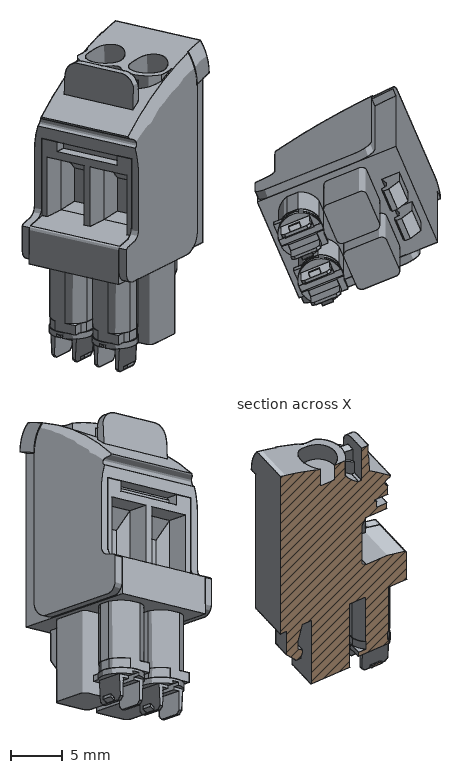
import cadquery as cq
import math

housing_width = 12.15
housing_depth = 14.5
core_half_width = 5.22
front_y = -12.32
pitch = 5.0
pole_xs = (-pitch / 2, pitch / 2)

crown_axis_y = 5.64
crown_axis_z = -7.03
crown_radius = 28.29
crown_edge_height = 3.08
crown_half_width = 5.05
blank_top_z = 22.0

foot_tip_z = 3.43
foot_slope_start = (-13.13, 4.14)
foot_slope_end = (-14.06, 3.93)
foot_neck_z = 5.15

groove_bottom_z = 13.42
groove_floor = (-12.02, 13.93)
bead_start = (-12.34, 14.27)
bead_tip = (-12.63, 14.5)
bead_end_y = -12.25

panel_back_y = -2.2
panel_gap = 0.1
panel_back_corner = 1.9
panel_front_corner = 1.1
back_lip_inset = 0.1

recess_y = -12.22
recess_top_z = 12.22
recess_foot_drop = 0.04
funnel_mouth = (4.27, 4.3, 10.4)
funnel_throat = (2.53, 5.05, 8.47)
funnel_straight_depth = 2.4
funnel_taper_depth = 1.0
slot_width = 7.0
slot_bottom_z = 11.2
slot_ramp_z = 11.92
slot_depth = 1.15
slot_ramp_depth = 0.3

collar_y = -5.39
collar_top_z = 19.1
collar_radius = 2.69
collar_half_width = 4.9
collar_web_fillet = 0.7
collar_blend_back_y = -4.87
collar_blend_front_y = -6.0
collar_root_z = 15.0
opening_radius = 1.9
opening_floor_z = 17.2

plate_half_width = 4.0
plate_back_y = -9.29
plate_foot_y = -10.3
plate_top_z = 19.8
plate_corner = 1.5
plate_lower_bend = (-10.18, 17.97)
plate_upper_bend = (-10.08, 18.55)
plate_root_z = 14.8
rib_x = 2.72
rib_width = 0.88
rib_back_y = -7.6
rib_back_z = 18.64
rib_front_z = 18.47
scoop_half_width = 2.0
scoop_back_y = -6.9
scoop_front_y = -8.95
scoop_front_z = 15.6
scoop_sag = 0.3

pin_y = -11.06
pin_radius = 2.19
pin_across_flats = 4.22
pin_foot_inset = 0.04
pin_end_z = -6.78
key_top_z = -5.8
key_left = -0.6
key_right = 1.8
flange_radius = 2.24
flange_corner = 1.75
flange_end_z = -7.37
prong_inner_top = 1.0
prong_outer_top = 1.5
prong_inner_tip = 1.05
prong_outer_tip = 1.35
prong_width = 3.0
prong_end_z = -9.9
prong_corner = 0.35
bridge_end_z = -7.66
bridge_overlap = 0.2
bridge_notch_width = 0.72
bridge_notch_z = -7.05
barb_width = 1.15
barb_reach = 1.8
barb_top_z = -9.25
barb_low_z = -9.55
barb_bottom_z = -9.85

socket_width = 4.2
socket_back_y = -3.52
socket_front_y = -8.0
socket_end_z = -8.3
socket_fillet = 0.55
hook_x = 1.6
hook_width = 2.2
hook_back_y = -0.7
hook_root_y = -2.55
hook_neck_y = -2.05
hook_tip_ys = (-2.35, -1.8)
hook_neck_top_z = -1.95
hook_neck_low_z = -2.9
hook_nose_top_z = -3.3
hook_nose_low_z = -3.7
hook_heel_z = -3.05
hook_tip_z = -4.35


def box(x_range, y_range, z_range):
    """Axis-aligned box from three (low, high) ranges."""
    size = [high - low for low, high in (x_range, y_range, z_range)]
    low_corner = (x_range[0], y_range[0], z_range[0])
    return cq.Workplane("XY").box(*size, centered=False).translate(low_corner)


def extrude_along_x(outline, x_low, x_high):
    """Extrude a closed YZ outline between two X positions."""
    return outline.extrude(x_high - x_low).translate((x_low, 0, 0))


def crown_z(y):
    """Height of the crown surface at a given Y."""
    return crown_axis_z + math.sqrt(crown_radius**2 - (y - crown_axis_y) ** 2)


def crown_disc(side_inset):
    """Disc with rounded rims that shapes the crown and its side edges."""
    half = housing_width / 2 - side_inset
    rim = crown_radius - crown_edge_height
    flat = crown_half_width - side_inset
    outline = (
        cq.Workplane("XY")
        .moveTo(-half, 0)
        .lineTo(half, 0)
        .lineTo(half, rim)
        .tangentArcPoint((flat, crown_radius), relative=False)
        .lineTo(-flat, crown_radius)
    )
    inset = half - flat
    arc_radius = (inset**2 + crown_edge_height**2) / (2 * inset)
    half_angle = math.asin(crown_edge_height / arc_radius) / 2
    middle_x = half - arc_radius * (1 - math.cos(half_angle))
    middle_r = rim + arc_radius * math.sin(half_angle)
    outline = outline.threePointArc((-middle_x, middle_r), (-half, rim)).close()
    disc = outline.revolve(360, (0, 0, 0), (1, 0, 0))
    return disc.translate((0, crown_axis_y, crown_axis_z))


def make_blank():
    """Side profile over the full width, open above for the crown to trim."""
    outline = (
        cq.Workplane("YZ")
        .moveTo(0, blank_top_z)
        .lineTo(bead_end_y, blank_top_z)
        .lineTo(bead_end_y, crown_z(bead_end_y))
        .threePointArc(bead_tip, bead_start)
        .threePointArc(groove_floor, (front_y, groove_bottom_z))
        .lineTo(front_y, foot_neck_z)
        .tangentArcPoint(foot_slope_start, relative=False)
        .lineTo(*foot_slope_end)
        .tangentArcPoint((-housing_depth, foot_tip_z), relative=False)
        .lineTo(-housing_depth, 0)
        .lineTo(0, 0)
        .close()
    )
    half = housing_width / 2
    return extrude_along_x(outline, -half, half)


def panel_region():
    """Outline of the side panels: rounded lower corners, set back from the core."""
    panel = box(
        (-housing_width, housing_width),
        (-housing_depth + panel_gap, panel_back_y),
        (panel_gap, blank_top_z),
    )
    panel = panel.edges("|X and <Z and >Y").fillet(panel_back_corner)
    return panel.edges("|X and <Z and <Y").fillet(panel_front_corner)


def make_housing():
    """Core and side panels under the crown, with a narrower section at the back."""
    blank = make_blank()
    all_z = (0, blank_top_z)
    all_x = (-housing_width, housing_width)
    core_x = (-core_half_width, core_half_width)
    front = blank.intersect(crown_disc(0))
    core = front.intersect(box(core_x, (-housing_depth, panel_back_y), all_z))
    panels = front.intersect(panel_region())
    back = blank.intersect(crown_disc(back_lip_inset)).intersect(box(all_x, (panel_back_y, 0), all_z))
    below_lip = (
        cq.Workplane("YZ", origin=(-housing_width, crown_axis_y, crown_axis_z))
        .circle(crown_radius - crown_edge_height)
        .extrude(2 * housing_width)
        .cut(box(core_x, (-housing_depth, 0), all_z))
    )
    return core.union(panels).union(back.cut(below_lip))


def front_recess():
    """Shallow recess across the core, down to the sloping top of the foot."""
    slope = (foot_slope_end[1] - foot_slope_start[1]) / (foot_slope_end[0] - foot_slope_start[0])
    slope_z_at_recess = foot_slope_start[1] + slope * (recess_y - foot_slope_start[0]) - recess_foot_drop
    outline = (
        cq.Workplane("YZ")
        .moveTo(recess_y, slope_z_at_recess)
        .lineTo(recess_y, recess_top_z)
        .lineTo(-housing_depth, recess_top_z)
        .lineTo(-housing_depth, slope_z_at_recess + slope * (-housing_depth - recess_y))
        .close()
    )
    return extrude_along_x(outline, -core_half_width, core_half_width)


def wire_funnel(x):
    """Rectangular pocket that narrows to a throat behind its straight mouth."""
    mouth_width, mouth_low, mouth_high = funnel_mouth
    throat_width, throat_low, throat_high = funnel_throat
    mouth_center_z = (mouth_low + mouth_high) / 2
    throat_center_z = (throat_low + throat_high) / 2
    taper_y = recess_y + funnel_straight_depth
    taper = (
        cq.Workplane("XZ", origin=(x, taper_y + funnel_taper_depth, 0))
        .center(0, throat_center_z)
        .rect(throat_width, throat_high - throat_low)
        .workplane(offset=funnel_taper_depth)
        .center(0, mouth_center_z - throat_center_z)
        .rect(mouth_width, mouth_high - mouth_low)
        .loft(ruled=True)
    )
    mouth = box(
        (x - mouth_width / 2, x + mouth_width / 2), (-housing_depth, taper_y), (mouth_low, mouth_high)
    )
    return taper.union(mouth)


def front_slot():
    """Slot under the upper edge of the recess, with a ramp above its back wall."""
    back_y = recess_y + slot_depth
    outline = (
        cq.Workplane("YZ")
        .moveTo(front_y, slot_bottom_z)
        .lineTo(back_y, slot_bottom_z)
        .lineTo(back_y, slot_ramp_z)
        .lineTo(back_y + slot_ramp_depth, recess_top_z)
        .lineTo(front_y, recess_top_z)
        .close()
    )
    return extrude_along_x(outline, -slot_width / 2, slot_width / 2)


def collar_footprint():
    """Two rounded lobes joined by a filleted web, cut flat at the sides."""
    pole_x = pitch / 2
    reach = collar_radius + collar_web_fillet
    fillet_y = collar_y - math.sqrt(reach**2 - pole_x**2)
    share = collar_radius / reach
    tangent_x = pole_x * (1 - share)
    tangent_y = collar_y + share * (fillet_y - collar_y)
    flat_y = collar_y - math.sqrt(collar_radius**2 - (collar_half_width - pole_x) ** 2)
    lobe_y = collar_y - collar_radius
    outline = (
        cq.Workplane("XY", origin=(0, 0, collar_root_z))
        .moveTo(-collar_half_width, 0)
        .lineTo(-collar_half_width, flat_y)
        .threePointArc((-pole_x, lobe_y), (-tangent_x, tangent_y))
        .threePointArc((0, fillet_y + collar_web_fillet), (tangent_x, tangent_y))
        .threePointArc((pole_x, lobe_y), (collar_half_width, flat_y))
        .lineTo(collar_half_width, 0)
        .close()
    )
    return outline.extrude(blank_top_z - collar_root_z)


def collar():
    """Level collar whose top blends back into the crown."""
    front_limit = collar_y - collar_radius
    outline = (
        cq.Workplane("YZ")
        .moveTo(front_limit, collar_root_z)
        .lineTo(front_limit, collar_top_z)
        .lineTo(collar_blend_front_y, collar_top_z)
        .tangentArcPoint((collar_blend_back_y, crown_z(collar_blend_back_y)), relative=False)
        .lineTo(collar_blend_back_y, collar_root_z)
        .close()
    )
    profile = extrude_along_x(outline, -collar_half_width, collar_half_width)
    return collar_footprint().intersect(profile)


def screwdriver_opening(x):
    """Blind round opening in the collar."""
    plane = cq.Workplane("XY", origin=(x, collar_y, opening_floor_z))
    return plane.circle(opening_radius).extrude(blank_top_z - opening_floor_z)


def push_plate():
    """Upright plate, rounded at its upper corners and thicker at its foot."""
    outline = (
        cq.Workplane("YZ")
        .moveTo(plate_back_y, plate_root_z)
        .lineTo(plate_foot_y, plate_root_z)
        .lineTo(*plate_lower_bend)
        .lineTo(*plate_upper_bend)
        .lineTo(plate_upper_bend[0], plate_top_z)
        .lineTo(plate_back_y, plate_top_z)
        .close()
    )
    plate = extrude_along_x(outline, -plate_half_width, plate_half_width)
    return plate.edges("|Y and >Z").fillet(plate_corner)


def plate_rib(x):
    """Rib joining the push plate to the collar."""
    outline = (
        cq.Workplane("YZ")
        .moveTo(rib_back_y, plate_root_z)
        .lineTo(plate_back_y, plate_root_z)
        .lineTo(plate_back_y, rib_front_z)
        .lineTo(rib_back_y, rib_back_z)
        .close()
    )
    return extrude_along_x(outline, x - rib_width / 2, x + rib_width / 2)


def crown_scoop():
    """Hollow between the ribs, falling from the collar to a narrow floor at the plate."""
    outline = (
        cq.Workplane("YZ")
        .moveTo(scoop_back_y, crown_z(scoop_back_y))
        .sagittaArc((scoop_front_y, scoop_front_z), scoop_sag)
        .lineTo(plate_back_y, scoop_front_z)
        .lineTo(plate_back_y, collar_top_z)
        .lineTo(scoop_back_y, collar_top_z)
        .close()
    )
    return extrude_along_x(outline, -scoop_half_width, scoop_half_width)


def prong(side):
    """One contact prong with its outward barb, on the given side of the pin axis."""
    blade = (
        cq.Workplane("XZ", origin=(0, prong_width / 2, 0))
        .moveTo(side * prong_inner_top, flange_end_z)
        .lineTo(side * prong_outer_top, flange_end_z)
        .lineTo(side * prong_outer_tip, prong_end_z)
        .lineTo(side * prong_inner_tip, prong_end_z)
        .close()
        .extrude(prong_width)
    )
    blade = blade.edges("|X and <Z").chamfer(prong_corner)
    barb = (
        cq.Workplane("XZ", origin=(0, barb_width / 2, 0))
        .moveTo(side * prong_inner_tip, barb_low_z)
        .lineTo(side * prong_outer_tip, barb_low_z)
        .lineTo(side * barb_reach, barb_top_z)
        .lineTo(side * barb_reach, barb_low_z)
        .lineTo(side * prong_outer_tip, barb_bottom_z)
        .lineTo(side * prong_inner_tip, barb_bottom_z)
        .close()
        .extrude(barb_width)
    )
    return blade.union(barb)


def pin_section(inset, top_z, bottom_z):
    """Length of the round pin with four flats, reduced all round by an inset."""
    across_flats = pin_across_flats - 2 * inset
    plane = cq.Workplane("XY", origin=(0, 0, top_z))
    round_bar = plane.circle(pin_radius - inset).extrude(bottom_z - top_z)
    return round_bar.intersect(plane.rect(across_flats, across_flats).extrude(bottom_z - top_z))


def contact_pin(x):
    """Round pin with four flats, a square key corner, flange and two prongs."""
    half_flats = pin_across_flats / 2
    shaft = pin_section(0, 0, key_top_z)
    shaft_foot = pin_section(pin_foot_inset, key_top_z, pin_end_z)
    flange = cq.Workplane("XY", origin=(0, 0, pin_end_z)).circle(flange_radius)
    flange = flange.extrude(flange_end_z - pin_end_z)
    key = box((key_left, key_right), (-half_flats, 0), (pin_end_z, key_top_z))
    corner = box((-flange_corner, 0), (0, half_flats), (flange_end_z, pin_end_z))
    bridge = box(
        (-prong_inner_top - bridge_overlap, prong_inner_top + bridge_overlap),
        (-prong_width / 2, prong_width / 2),
        (bridge_end_z, flange_end_z),
    )
    notch = box(
        (-bridge_notch_width / 2, bridge_notch_width / 2),
        (-flange_radius, flange_radius),
        (bridge_end_z, bridge_notch_z),
    )
    pin = shaft.union(shaft_foot).union(flange).union(key).union(corner).union(bridge).cut(notch)
    for side in (-1, 1):
        pin = pin.union(prong(side))
    return pin.translate((x, pin_y, 0))


def socket_block(x):
    """Rectangular block with rounded upright edges behind a pin."""
    block = box(
        (x - socket_width / 2, x + socket_width / 2),
        (socket_front_y, socket_back_y),
        (socket_end_z, 0),
    )
    return block.edges("|Z").fillet(socket_fillet)


def latch_hook(x):
    """Hook hanging below the back of the housing."""
    outline = cq.Workplane("YZ").polyline(
        [
            (hook_back_y, 0),
            (hook_root_y, 0),
            (hook_neck_y, hook_neck_top_z),
            (hook_neck_y, hook_neck_low_z),
            (hook_root_y, hook_nose_top_z),
            (hook_root_y, hook_nose_low_z),
            (hook_tip_ys[0], hook_tip_z),
            (hook_tip_ys[1], hook_tip_z),
            (hook_back_y, hook_heel_z),
        ]
    ).close()
    return extrude_along_x(outline, x - hook_width / 2, x + hook_width / 2)


result = make_housing().cut(front_recess()).cut(front_slot()).cut(crown_scoop())
result = result.union(collar()).union(push_plate())
for side in (-1, 1):
    result = result.union(plate_rib(side * rib_x)).union(latch_hook(side * hook_x))
for pole_x in pole_xs:
    result = result.cut(wire_funnel(pole_x)).cut(screwdriver_opening(pole_x))
    result = result.union(contact_pin(pole_x)).union(socket_block(pole_x))